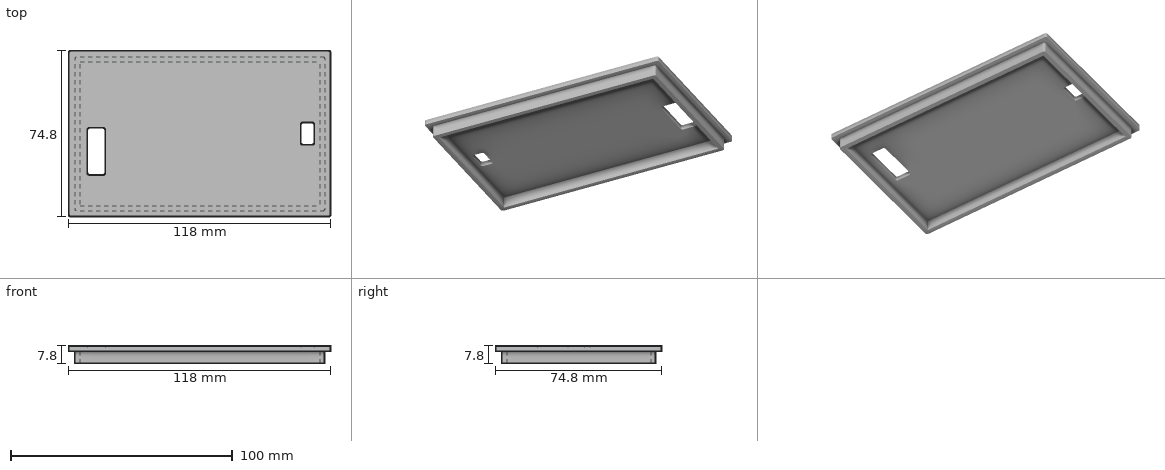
import cadquery as cq

corner_radius = 1.0

plate_length = 118.02
plate_width = 74.84
plate_thickness = 2.4

total_height = 7.8
rim_height = total_height - plate_thickness
rim_inset = 2.7
rim_length = plate_length - 2 * rim_inset
rim_width = plate_width - 2 * rim_inset
rim_wall = 2.25

large_window_size = (8.0, 21.2)
large_window_center = (-46.55, -8.0)
small_window_size = (6.0, 10.0)
small_window_center = (48.6, 0.0)


def rounded_block(length, width, height):
    """Block standing on Z = 0, centred in X and Y, with rounded upright edges."""
    block = cq.Workplane("XY").box(length, width, height, centered=(True, True, False))
    return block.edges("|Z").fillet(corner_radius)


def make_plate():
    """Flat cover plate resting on top of the rim."""
    plate = rounded_block(plate_length, plate_width, plate_thickness)
    return plate.translate((0, 0, rim_height))


def make_rim():
    """Rectangular rim, open at the bottom and hollow inside."""
    outer = rounded_block(rim_length, rim_width, rim_height)
    cavity = cq.Workplane("XY").box(
        rim_length - 2 * rim_wall,
        rim_width - 2 * rim_wall,
        rim_height,
        centered=(True, True, False),
    )
    return outer.cut(cavity)


def make_window(size, center):
    """Cutter for a rounded rectangular window through the plate."""
    cutter = rounded_block(*size, plate_thickness)
    return cutter.translate((*center, rim_height))


result = make_plate().union(make_rim())
for size, center in (
    (large_window_size, large_window_center),
    (small_window_size, small_window_center),
):
    result = result.cut(make_window(size, center))